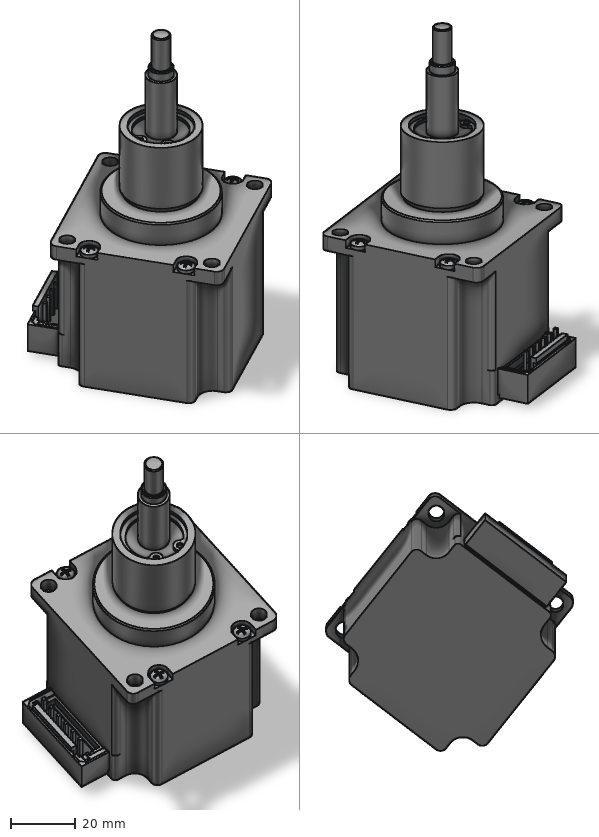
import cadquery as cq
import math

REAR_CAP_TOP = 11.8
FLANGE_BOTTOM = 45.4
FLANGE_TOP = 50.4
PILOT_TOP = 58.4
NECK_TOP = 60.0
HUB_TOP = 82.6
SHAFT_TOP = 101.4
COLLAR_TOP = 104.6
TIP_TOP = 116.4

FLANGE_SIZE = 56.4
FLANGE_HALF = FLANGE_SIZE / 2
FLANGE_CORNER_RADIUS = 2.5
SCALLOP_RADIUS = 5.0
SCALLOP_CENTRE = 23.9
SCALLOP_EDGE = SCALLOP_CENTRE - SCALLOP_RADIUS
LUG_RADIUS = 2.2
LUG_OVERHANG = 0.15
REAR_LUG_RADIUS = 1.4

MOUNT_PITCH = 47.14
MOUNT_HOLE_DIAMETER = 5.0
SCREW_X = 15.8
SCREW_Y = 25.47
SCREW_POCKET_DIAMETER = 6.8
SCREW_POCKET_DEPTH = 2.6
SCREW_HEAD_DIAMETER = 5.6
SCREW_HEAD_HEIGHT = 2.4
SCREW_RIM_HEIGHT = 1.3
CROSS_LENGTH = 3.4
CROSS_WIDTH = 0.7
CROSS_DEPTH = 1.0

PILOT_DIAMETER = 38.1
PILOT_CHAMFER = 0.5
NECK_DIAMETER = 24.4
HUB_DIAMETER = 26.0
HUB_BORE_DIAMETER = 21.0
HUB_BORE_DEPTH = 2.2
SHAFT_DIAMETER = 10.0
COLLAR_DIAMETER = 8.0
TIP_DIAMETER = 6.0
SHAFT_CHAMFER = 0.4

RING_THICKNESS = 1.0
RING_INNER_DIAMETER = 18.2
RING_INNER_Y = -0.4
EAR_X = 4.5
EAR_Y = -7.8
EAR_RADIUS = 2.1
EAR_HOLE_DIAMETER = 2.0
EAR_SHOULDER_Y = -6.15

HOUSING_BACK = -FLANGE_HALF
HOUSING_FRONT = -38.7
HOUSING_BOTTOM = 1.8
HOUSING_TOP = 11.7
HOUSING_HALF_WIDTH = 16.1
RELIEF_DEPTH = 0.45
RELIEF_HEIGHT = 1.0
RIM_WIDTH = 0.75
LEDGE_DEPTH = 0.5
LEDGE_CORNER = 1.4
CAVITY_FLOOR = 7.5
CAVITY_FRONT = -36.8
CAVITY_BACK = -30.1
CAVITY_HALF_WIDTH = 12.0
BACK_STEP_WIDTH = 1.0
BACK_STEP_DEPTH = 2.7
KEYWAY_FRONT = -36.0
KEYWAY_BACK = -34.4
KEYWAY_HALF_WIDTH = 14.3
SHELF_FRONT = -33.5
SHELF_HALF_WIDTH = 13.4
SHELF_DEPTH = 1.0
LEAD_IN_FRONT = -33.2
LEAD_IN_BACK = -31.8
LEAD_IN_DEPTH = 0.7
LATCH_HALF_WIDTH = 10.5
LATCH_THICKNESS = 0.9
LIP_BOTTOM = 13.3
LIP_TOP = 15.2
PIN_COUNT = 6
PIN_PITCH = 3.96
PIN_SIZE = 1.14
PIN_X = -34.85
PIN_TOP = 16.6


def block(x_range, y_range, z_range):
    """Axis-aligned box between pairs of limits."""
    sizes = [high - low for low, high in (x_range, y_range, z_range)]
    corner = (x_range[0], y_range[0], z_range[0])
    return cq.Workplane("XY").box(*sizes, centered=False).translate(corner)


def cylinder(diameter, bottom, top):
    return cq.Workplane("XY").workplane(offset=bottom).circle(diameter / 2).extrude(top - bottom)


def shoulder_arc(radius, overhang):
    """Start, middle and end of the shoulder running from the +X face to the corner ledge."""
    centre_x = FLANGE_HALF + overhang - radius
    centre_y = SCALLOP_EDGE - radius
    start_angle = math.acos((radius - overhang) / radius)
    end_angle = math.pi / 2
    angles = (start_angle, (start_angle + end_angle) / 2, end_angle)
    return [(centre_x + radius * math.cos(a), centre_y + radius * math.sin(a)) for a in angles]


def body_section(bottom, top, side_radius, side_overhang):
    """Square body with a bolt hollow in each corner; the -X shoulders have their own shape."""
    scallop_middle = SCALLOP_CENTRE - SCALLOP_RADIUS * math.sqrt(0.5)
    plain = (LUG_RADIUS, 0)
    special = (side_radius, side_overhang)
    corner_shapes = [(plain, plain), (plain, special), (special, plain), (plain, plain)]
    outline = cq.Workplane("XY").workplane(offset=bottom)
    for quarter, (first, second) in enumerate(corner_shapes):
        turn = quarter * math.pi / 2
        cos_turn = round(math.cos(turn))
        sin_turn = round(math.sin(turn))

        def turned(point):
            x, y = point
            return (x * cos_turn - y * sin_turn, x * sin_turn + y * cos_turn)

        start, middle, end = [turned(p) for p in shoulder_arc(*first)]
        outline = outline.moveTo(*start) if quarter == 0 else outline.lineTo(*start)
        outline = outline.threePointArc(middle, end)
        outline = outline.lineTo(*turned((SCALLOP_CENTRE, SCALLOP_EDGE)))
        outline = outline.threePointArc(
            turned((scallop_middle, scallop_middle)), turned((SCALLOP_EDGE, SCALLOP_CENTRE))
        )
        end, middle, start = [turned((y, x)) for x, y in shoulder_arc(*second)]
        outline = outline.lineTo(*start).threePointArc(middle, end)
    return outline.close().extrude(top - bottom)


def motor_body():
    rear_cap = body_section(0, REAR_CAP_TOP, REAR_LUG_RADIUS, 0)
    stator = body_section(REAR_CAP_TOP, FLANGE_BOTTOM, LUG_RADIUS, LUG_OVERHANG)
    return rear_cap.union(stator)


def mounting_flange():
    thickness = FLANGE_TOP - FLANGE_BOTTOM
    flange = cq.Workplane("XY").workplane(offset=FLANGE_BOTTOM)
    flange = flange.rect(FLANGE_SIZE, FLANGE_SIZE).extrude(thickness)
    flange = flange.edges("|Z").fillet(FLANGE_CORNER_RADIUS)
    holes = flange.faces(">Z").workplane().rect(MOUNT_PITCH, MOUNT_PITCH, forConstruction=True)
    return holes.vertices().hole(MOUNT_HOLE_DIAMETER)


def screw_pocket():
    """Round-ended pocket at +Y, open to the flange edge, centred on the screw axis."""
    radius = SCREW_POCKET_DIAMETER / 2
    floor = FLANGE_TOP - SCREW_POCKET_DEPTH
    seat = cylinder(SCREW_POCKET_DIAMETER, floor, FLANGE_TOP)
    return seat.union(block((-radius, radius), (0, radius), (floor, FLANGE_TOP)))


def screw_head():
    """Pan head with a domed top and a cross recess."""
    radius = SCREW_HEAD_DIAMETER / 2
    rise = SCREW_HEAD_HEIGHT - SCREW_RIM_HEIGHT
    dome_radius = (radius ** 2 + rise ** 2) / (2 * rise)
    dome_centre = SCREW_HEAD_HEIGHT - dome_radius
    dome_middle_x = radius / 2
    dome_middle_z = dome_centre + math.sqrt(dome_radius ** 2 - dome_middle_x ** 2)
    head = (
        cq.Workplane("XZ")
        .lineTo(radius, 0)
        .lineTo(radius, SCREW_RIM_HEIGHT)
        .threePointArc((dome_middle_x, dome_middle_z), (0, SCREW_HEAD_HEIGHT))
        .close()
        .revolve(360, (0, 0, 0), (0, 1, 0))
    )
    recess = cq.Workplane("XY").workplane(offset=SCREW_HEAD_HEIGHT - CROSS_DEPTH)
    for length, width in ((CROSS_LENGTH, CROSS_WIDTH), (CROSS_WIDTH, CROSS_LENGTH)):
        head = head.cut(recess.rect(length, width).extrude(CROSS_DEPTH))
    return head.translate((0, 0, FLANGE_TOP - SCREW_POCKET_DEPTH))


def add_cover_screws(body):
    pocket = screw_pocket()
    head = screw_head()
    for side, angle in ((1, 0), (-1, 180)):
        for x in (-SCREW_X, SCREW_X):
            place = (x, side * SCREW_Y, 0)
            body = body.cut(pocket.rotate((0, 0, 0), (0, 0, 1), angle).translate(place))
            body = body.union(head.translate(place))
    return body


def hub_and_shaft():
    pilot = cylinder(PILOT_DIAMETER, FLANGE_TOP, PILOT_TOP).faces(">Z").chamfer(PILOT_CHAMFER)
    neck = cylinder(NECK_DIAMETER, PILOT_TOP, NECK_TOP)
    bore_floor = HUB_TOP - HUB_BORE_DEPTH
    hub = cylinder(HUB_DIAMETER, NECK_TOP, HUB_TOP)
    hub = hub.cut(cylinder(HUB_BORE_DIAMETER, bore_floor, HUB_TOP))
    shaft = cylinder(SHAFT_DIAMETER, bore_floor, SHAFT_TOP)
    collar = cylinder(COLLAR_DIAMETER, SHAFT_TOP, COLLAR_TOP).faces(">Z").chamfer(SHAFT_CHAMFER)
    tip = cylinder(TIP_DIAMETER, COLLAR_TOP, TIP_TOP).faces(">Z").chamfer(SHAFT_CHAMFER)
    return pilot.union(neck).union(hub).union(shaft).union(collar).union(tip)


def retaining_ring():
    """Open ring lying on the bore floor, with a drilled ear at each end."""
    bottom = HUB_TOP - HUB_BORE_DEPTH
    top = bottom + RING_THICKNESS
    bore_radius = HUB_BORE_DIAMETER / 2
    bore = cylinder(HUB_BORE_DIAMETER, bottom, top)
    ring = bore.cut(cylinder(RING_INNER_DIAMETER, bottom, top).translate((0, RING_INNER_Y, 0)))
    ring = ring.cut(block((-EAR_X, EAR_X), (-bore_radius, EAR_Y), (bottom, top)))
    for side in (-1, 1):
        ear_x = side * EAR_X
        ear = cylinder(2 * EAR_RADIUS, bottom, top).translate((ear_x, EAR_Y, 0))
        web_x = sorted((ear_x, side * bore_radius))
        web = block(web_x, (EAR_Y - EAR_RADIUS, EAR_SHOULDER_Y), (bottom, top))
        hole = cylinder(EAR_HOLE_DIAMETER, bottom, top).translate((ear_x, EAR_Y, 0))
        ring = ring.union(ear.union(web).intersect(bore)).cut(hole)
    return ring


def connector_housing():
    def symmetric(half_width):
        return (-half_width, half_width)

    housing = block(
        (HOUSING_FRONT, HOUSING_BACK), symmetric(HOUSING_HALF_WIDTH), (HOUSING_BOTTOM, HOUSING_TOP)
    )
    relief = block(
        (HOUSING_BACK - RELIEF_DEPTH, HOUSING_BACK),
        symmetric(HOUSING_HALF_WIDTH),
        (HOUSING_BOTTOM, HOUSING_BOTTOM + RELIEF_HEIGHT),
    )
    ledge = block(
        (HOUSING_FRONT + RIM_WIDTH, HOUSING_BACK),
        symmetric(HOUSING_HALF_WIDTH - RIM_WIDTH),
        (HOUSING_TOP - LEDGE_DEPTH, HOUSING_TOP),
    )
    ledge = ledge.edges("|Z and <X").chamfer(LEDGE_CORNER)
    depth = (CAVITY_FLOOR, HOUSING_TOP)
    cavity = block((CAVITY_FRONT, CAVITY_BACK), symmetric(CAVITY_HALF_WIDTH), depth)
    shelf_level = HOUSING_TOP - SHELF_DEPTH
    shelf_height = (shelf_level, HOUSING_TOP)
    keyway = block((KEYWAY_FRONT, KEYWAY_BACK), symmetric(KEYWAY_HALF_WIDTH), shelf_height)
    shelf = block((SHELF_FRONT, HOUSING_BACK), symmetric(SHELF_HALF_WIDTH), shelf_height)
    lead_in = (
        cq.Workplane("XZ")
        .moveTo(LEAD_IN_FRONT, shelf_level)
        .lineTo(LEAD_IN_FRONT, shelf_level - LEAD_IN_DEPTH)
        .lineTo(LEAD_IN_BACK, shelf_level)
        .close()
        .extrude(SHELF_HALF_WIDTH, both=True)
    )
    back_step = block(
        (CAVITY_BACK, CAVITY_BACK + BACK_STEP_WIDTH),
        symmetric(CAVITY_HALF_WIDTH),
        (shelf_level - BACK_STEP_DEPTH, HOUSING_TOP),
    )
    for pocket in (relief, ledge, cavity, keyway, shelf, lead_in, back_step):
        housing = housing.cut(pocket)

    latch_width = symmetric(LATCH_HALF_WIDTH)
    front_wall = block((HOUSING_FRONT, CAVITY_FRONT), latch_width, (CAVITY_FLOOR, HOUSING_TOP))
    latch_web = block(
        (CAVITY_FRONT - LATCH_THICKNESS, CAVITY_FRONT), latch_width, (HOUSING_TOP, LIP_TOP)
    )
    latch_lip = block((HOUSING_FRONT, CAVITY_FRONT), latch_width, (LIP_BOTTOM, LIP_TOP))
    return housing.union(front_wall).union(latch_web).union(latch_lip)


def connector_pins():
    pins = cq.Workplane("XY").workplane(offset=CAVITY_FLOOR)
    pins = pins.center(PIN_X, 0).rarray(1, PIN_PITCH, 1, PIN_COUNT)
    return pins.rect(PIN_SIZE, PIN_SIZE).extrude(PIN_TOP - CAVITY_FLOOR)


motor = add_cover_screws(motor_body().union(mounting_flange()))
motor = motor.union(hub_and_shaft()).union(retaining_ring())
result = motor.union(connector_housing()).union(connector_pins())